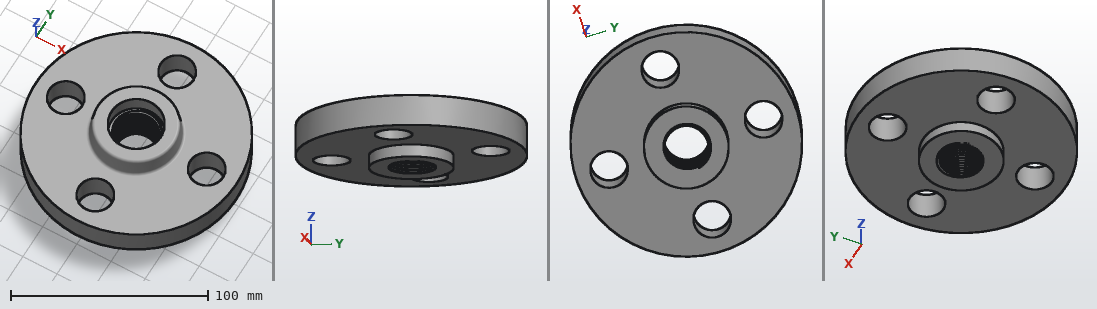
import cadquery as cq
import math

flange_diameter = 117.3
flange_thickness = 15.7

hub_base_diameter = 47.7
hub_height = 9.7
hub_draft = 10.0
hub_fillet = 1.5

boss_diameter = 42.9
boss_height = 6.3

bolt_hole_diameter = 19.0
bolt_circle_diameter = 82.5
bolt_count = 4

counterbore_diameter = 28.9
counterbore_depth = hub_height

thread_pitch = 1.82
thread_depth = 1.4
crest_diameter = 23.6
thread_flat = 0.1
radius_taper = 1 / 32
cutter_overlap = 0.2

hub_top = flange_thickness + hub_height
boss_bottom = -boss_height
thread_top = hub_top - counterbore_depth
crest_radius = crest_diameter / 2


def crest_radius_at(z):
    """Radius of the thread crests at height z."""
    return crest_radius - (thread_top - z) * radius_taper


def make_body():
    """Plate, filleted tapered hub and boss as one solid."""
    hub_base_radius = hub_base_diameter / 2
    hub_top_radius = hub_base_radius - hub_height * math.tan(math.radians(hub_draft))
    hub = (
        cq.Workplane("XZ")
        .lineTo(hub_base_radius, 0)
        .lineTo(hub_base_radius, flange_thickness)
        .lineTo(hub_top_radius, hub_top)
        .lineTo(0, hub_top)
        .close()
        .revolve(360, (0, 0, 0), (0, 1, 0))
    )
    hub = hub.faces(">Z").edges().fillet(hub_fillet)
    plate = cq.Workplane("XY").circle(flange_diameter / 2).extrude(flange_thickness)
    hub_foot = cq.selectors.RadiusNthSelector(0)
    body = plate.union(hub).faces(">Z[-2]").edges(hub_foot).fillet(hub_fillet)
    boss = cq.Workplane("XY").circle(boss_diameter / 2).extrude(boss_bottom)
    return body.union(boss)


def make_bore():
    """Counterbore plus the tapered bore along the thread crests."""
    return (
        cq.Workplane("XZ")
        .moveTo(0, boss_bottom)
        .lineTo(crest_radius_at(boss_bottom), boss_bottom)
        .lineTo(crest_radius, thread_top)
        .lineTo(counterbore_diameter / 2, thread_top)
        .lineTo(counterbore_diameter / 2, hub_top)
        .lineTo(0, hub_top)
        .close()
        .revolve(360, (0, 0, 0), (0, 1, 0))
    )


def make_thread_cutter():
    """Conical helical V groove, started and ended outside the threaded length.

    It is built starting on the X axis, then turned so that the groove root meets
    the counterbore floor on the +Y side.
    """
    clear_turns = 0.5
    turns_below = math.ceil((thread_top - boss_bottom) / thread_pitch + clear_turns)
    start_z = thread_top - turns_below * thread_pitch
    start_radius = crest_radius_at(start_z)
    length = (turns_below + 1) * thread_pitch
    taper_angle = math.degrees(math.atan(radius_taper))
    start_centre = cq.Vector(0, 0, start_z)
    path = cq.Wire.makeHelix(thread_pitch, length, start_radius, start_centre, angle=taper_angle)
    mouth_half = (thread_pitch - thread_flat) / 2
    root_half = thread_flat / 2
    profile = (
        cq.Workplane("XZ", origin=(start_radius, 0, start_z))
        .moveTo(-cutter_overlap, -mouth_half)
        .lineTo(0, -mouth_half)
        .lineTo(thread_depth, -root_half)
        .lineTo(thread_depth, root_half)
        .lineTo(0, mouth_half)
        .lineTo(-cutter_overlap, mouth_half)
        .close()
    )
    cutter = profile.sweep(cq.Workplane(path), isFrenet=True)
    return cutter.rotate((0, 0, 0), (0, 0, 1), 90)


def make_bolt_holes():
    """Through holes on the bolt circle, on the X and Y axes."""
    return (
        cq.Workplane("XY")
        .polarArray(bolt_circle_diameter / 2, 0, 360, bolt_count)
        .circle(bolt_hole_diameter / 2)
        .extrude(flange_thickness)
    )


result = make_body().cut(make_bolt_holes()).cut(make_bore()).cut(make_thread_cutter())